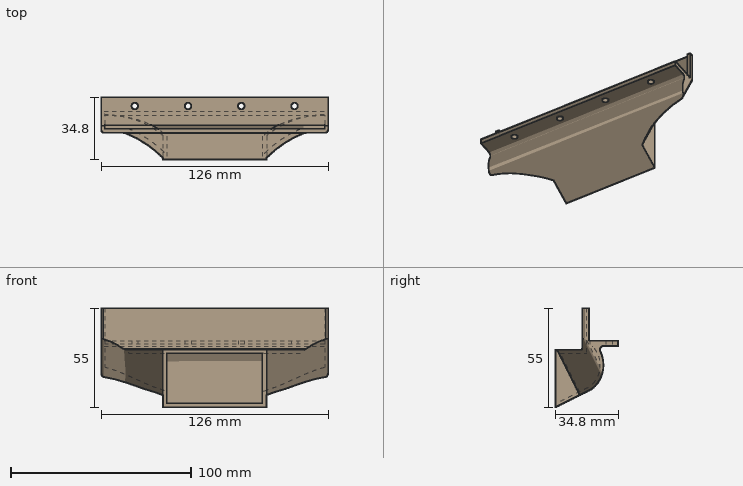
import cadquery as cq
import math


width = 126.0
depth = 34.75
height = 55.0
wall = 2.0
half_width = width / 2

flange_top = 37.0
flange_thickness = 3.0
flange_bottom = flange_top - flange_thickness
flange_fillet = 2.0
hole_diameter = 3.5
hole_spacing = 29.5
hole_count = 4
hole_setback = 5.0

wall_back = 16.0
wall_front = 19.9
wall_foot = 38.0
slot_back = 15.6
slot_front = 17.6

duct_top = 32.0
floor_angle = math.degrees(math.atan(0.5))
back_radius = 17.0
back_centre_y = -25.0
back_centre_z = 23.55
bevel_reach = 0.3
bevel_rise = 0.6

mouth_half_width = 28.75
mouth_opening_half_width = 26.5
flare_radius = 60.0
flare_centre_x = 69.0
flare_centre_run = 60.4
side_fillet = 2.0
plan_reach = 100.0

sin_floor = math.sin(math.radians(floor_angle))
cos_floor = math.cos(math.radians(floor_angle))

side_plane = cq.Workplane("YZ")
floor_plane = cq.Plane(origin=(0, 0, 0), xDir=(1, 0, 0), normal=(0, -sin_floor, cos_floor))


def floor_meets_back(inset):
    """Point where the floor runs into the round back, both moved inward by the inset."""
    floor_distance = back_centre_z * cos_floor - (depth + back_centre_y) * sin_floor - inset
    half_chord = math.sqrt((back_radius - inset) ** 2 - floor_distance**2)
    return (
        back_centre_y + floor_distance * sin_floor + half_chord * cos_floor,
        back_centre_z - floor_distance * cos_floor + half_chord * sin_floor,
    )


def floor_height_at_mouth(inset):
    """Height of the floor, raised by the inset, in the plane of the mouth."""
    return inset / cos_floor


def extrude_across(profile):
    """Closed side profile extruded over the full width of the part."""
    return profile.close().extrude(half_width, both=True)


def flare_prism(inset, mouth):
    """Duct plan, moved inward by the inset, with the given mouth half width, extruded square to the floor."""
    radius = flare_radius + inset
    side = half_width - inset

    def run(x):
        """Distance of the flare from the X axis, measured down the slope of the floor."""
        return flare_centre_run - math.sqrt(radius**2 - (flare_centre_x - x) ** 2)

    middle = (side + mouth) / 2
    return (
        cq.Workplane(floor_plane)
        .moveTo(-side, plan_reach)
        .lineTo(-side, -run(side))
        .threePointArc((-middle, -run(middle)), (-mouth, -run(mouth)))
        .lineTo(-mouth, -plan_reach)
        .lineTo(mouth, -plan_reach)
        .lineTo(mouth, -run(mouth))
        .threePointArc((middle, -run(middle)), (side, -run(side)))
        .lineTo(side, plan_reach)
        .close()
        .extrude(plan_reach, both=True)
    )


def outer_profile():
    """Side outline of the duct, flange and foot of the upright wall."""
    fillet_z = flange_bottom - flange_fillet
    fillet_rise = fillet_z - back_centre_z
    fillet_reach = math.sqrt((back_radius + flange_fillet) ** 2 - fillet_rise**2)
    fillet_y = back_centre_y + fillet_reach
    share = back_radius / (back_radius + flange_fillet)
    fillet_end = (back_centre_y + share * fillet_reach, back_centre_z + share * fillet_rise)
    diagonal = flange_fillet * math.sqrt(0.5)
    fillet_mid = (fillet_y - diagonal, fillet_z + diagonal)
    return (
        side_plane.moveTo(-depth, 0)
        .lineTo(*floor_meets_back(0))
        .threePointArc((back_centre_y + back_radius, back_centre_z), fillet_end)
        .threePointArc(fillet_mid, (fillet_y, flange_bottom))
        .lineTo(0, flange_bottom)
        .lineTo(0, flange_top)
        .lineTo(-wall_back, flange_top)
        .lineTo(-wall_back, wall_foot)
        .lineTo(-wall_front, wall_foot)
        .lineTo(-wall_front, duct_top + bevel_rise)
        .lineTo(-wall_front - bevel_reach, duct_top)
        .lineTo(-depth, duct_top)
    )


def cavity_profile():
    """Side outline of the air passage, from the mouth to the underside of the slot."""
    radius = back_radius - wall
    slot_rise = math.sqrt(radius**2 - (slot_back + back_centre_y) ** 2)
    return (
        side_plane.moveTo(-depth, floor_height_at_mouth(wall))
        .lineTo(*floor_meets_back(wall))
        .threePointArc((back_centre_y + radius, back_centre_z), (-slot_back, back_centre_z + slot_rise))
        .lineTo(-slot_back, height)
        .lineTo(-slot_front, height)
        .lineTo(-slot_front, duct_top - wall)
        .lineTo(-depth, duct_top - wall)
    )


def make_body():
    """Solid duct, flange and foot, with the upright wall extruded from the top of the foot."""
    flare = flare_prism(0, mouth_half_width)
    side_edges = flare.edges(cq.ParallelDirSelector(floor_plane.zDir)).edges("<X or >X")
    rounded_flare = side_edges.fillet(side_fillet)
    lower = extrude_across(outer_profile()).intersect(rounded_flare)
    return lower.faces(">Z").wires().toPending().workplane().extrude(height - wall_foot)


def make_cavity():
    """Air passage; above the flange its slot is open to the back between the wall ends."""
    return extrude_across(cavity_profile()).intersect(flare_prism(wall, mouth_opening_half_width))


def make_holes():
    """Row of screw holes through the flange."""
    return (
        cq.Workplane("XY")
        .workplane(offset=flange_bottom)
        .center(0, -hole_setback)
        .rarray(hole_spacing, 1, hole_count, 1)
        .circle(hole_diameter / 2)
        .extrude(flange_thickness)
    )


result = make_body().cut(make_cavity()).cut(make_holes())